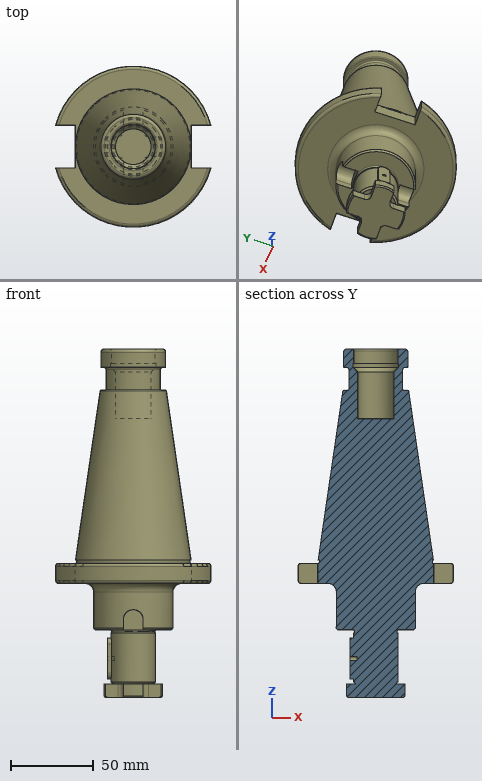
import cadquery as cq

TOTAL_HEIGHT = 210.8

HEAD_RADIUS = 17.7
HEAD_HEIGHT = 8.2
HEAD_CHAMFER = 0.8
LOBE_WIDTH = 12.0
LOBE_FILLET = 3.2

ARBOR_RADIUS = 13.5
ARBOR_CHAMFER = 1.3
ARBOR_NECK_RADIUS = 13.0
ARBOR_NECK_HEIGHT = 2.0
ARBOR_NECK_FILLET = 0.8

KEY_WIDTH = 7.2
KEY_LENGTH = 24.9
KEY_BOTTOM = 11.2
KEY_OUTER_X = 15.5
KEY_HOLE_DIAMETER = 2.3
KEY_HOLE_DEPTH = 4.2

COLLAR_RADIUS = 24.0
COLLAR_BOTTOM = 41.0
COLLAR_CHAMFER = 1.0
COLLAR_FILLET = 5.0

KEYWAY_WIDTH = 12.0
KEYWAY_TOP = 53.1
KEYWAY_FLOOR_Y = ARBOR_RADIUS

FLANGE_RADIUS = 48.7
FLANGE_BOTTOM = 69.0
FLANGE_TOP = 81.2
FLANGE_ROUNDING = 2.0
SLOT_WIDTH = 25.7
SLOT_FLOOR_X = 35.2

TAPER_RATIO = 7 / 24
GAUGE_RADIUS = 35.0
GAUGE_HEIGHT = 83.0
TAPER_NECK_RADIUS = 34.4
TAPER_NECK_FILLET = 0.6
TAPER_TOP = 186.0
TAPER_ROUNDING = 1.0

NECK_RADIUS = 16.5
NECK_LOWER_FILLET = 0.5
NECK_UPPER_FILLET = 1.0
KNOB_RADIUS = 19.5
KNOB_BOTTOM = 199.5
KNOB_TOP_ROUNDING = 2.1
KNOB_BOTTOM_ROUNDING = 0.6

BORE_RADIUS = 13.3
BORE_RIM_ROUNDING = 1.3
BORE_DEPTH = 8.9
GROOVE_RADIUS = 13.7
GROOVE_HEIGHT = 2.5
THREAD_RADIUS = 10.8
THREAD_CHAMFER_DEPTH = 2.7
THREAD_DEPTH = 42.2


def round_circles(body, radius, height, rounding):
    """Round the circular edges of the given radius and height, centred on the part axis."""
    tolerance = 0.1
    reach = radius + tolerance
    level = cq.selectors.BoxSelector(
        (-reach, -reach, height - tolerance), (reach, reach, height + tolerance), boundingbox=True
    )
    circles = body.edges("%CIRCLE").edges(level)
    matching = circles.filter(lambda edge: abs(edge.radius() - radius) < tolerance)
    return matching.fillet(rounding)


def turned_body():
    """Solid of revolution from the arbor up to the knob."""
    taper_top_radius = GAUGE_RADIUS - (TAPER_TOP - GAUGE_HEIGHT) * TAPER_RATIO / 2
    arbor_top = COLLAR_BOTTOM - ARBOR_NECK_HEIGHT
    outline = [
        (0, HEAD_HEIGHT),
        (ARBOR_RADIUS - ARBOR_CHAMFER, HEAD_HEIGHT),
        (ARBOR_RADIUS, HEAD_HEIGHT + ARBOR_CHAMFER),
        (ARBOR_RADIUS, arbor_top),
        (ARBOR_NECK_RADIUS, arbor_top),
        (ARBOR_NECK_RADIUS, COLLAR_BOTTOM),
        (COLLAR_RADIUS - COLLAR_CHAMFER, COLLAR_BOTTOM),
        (COLLAR_RADIUS, COLLAR_BOTTOM + COLLAR_CHAMFER),
        (COLLAR_RADIUS, FLANGE_BOTTOM),
        (FLANGE_RADIUS, FLANGE_BOTTOM),
        (FLANGE_RADIUS, FLANGE_TOP),
        (TAPER_NECK_RADIUS, FLANGE_TOP),
        (TAPER_NECK_RADIUS, GAUGE_HEIGHT),
        (GAUGE_RADIUS, GAUGE_HEIGHT),
        (taper_top_radius, TAPER_TOP),
        (NECK_RADIUS, TAPER_TOP),
        (NECK_RADIUS, KNOB_BOTTOM),
        (KNOB_RADIUS, KNOB_BOTTOM),
        (KNOB_RADIUS, TOTAL_HEIGHT),
        (0, TOTAL_HEIGHT),
    ]
    rounded_circles = [
        (ARBOR_NECK_RADIUS, COLLAR_BOTTOM, ARBOR_NECK_FILLET),
        (COLLAR_RADIUS, FLANGE_BOTTOM, COLLAR_FILLET),
        (FLANGE_RADIUS, FLANGE_BOTTOM, FLANGE_ROUNDING),
        (FLANGE_RADIUS, FLANGE_TOP, FLANGE_ROUNDING),
        (TAPER_NECK_RADIUS, FLANGE_TOP, TAPER_NECK_FILLET),
        (taper_top_radius, TAPER_TOP, TAPER_ROUNDING),
        (NECK_RADIUS, TAPER_TOP, NECK_LOWER_FILLET),
        (NECK_RADIUS, KNOB_BOTTOM, NECK_UPPER_FILLET),
        (KNOB_RADIUS, KNOB_BOTTOM, KNOB_BOTTOM_ROUNDING),
        (KNOB_RADIUS, TOTAL_HEIGHT, KNOB_TOP_ROUNDING),
    ]
    body = cq.Workplane("XZ").polyline(outline).close().revolve(360, (0, 0, 0), (0, 1, 0))
    for radius, height, rounding in rounded_circles:
        body = round_circles(body, radius, height, rounding)
    return body


def cut_drawbar_bore(body):
    """Cut the bore with its relief groove and countersunk thread hole, then round its rim."""
    groove_top = TOTAL_HEIGHT - BORE_DEPTH
    groove_bottom = groove_top - GROOVE_HEIGHT
    floor_z = TOTAL_HEIGHT - THREAD_DEPTH
    outline = [
        (0, TOTAL_HEIGHT),
        (BORE_RADIUS, TOTAL_HEIGHT),
        (BORE_RADIUS, groove_top),
        (GROOVE_RADIUS, groove_top),
        (GROOVE_RADIUS, groove_bottom),
        (BORE_RADIUS, groove_bottom),
        (THREAD_RADIUS, groove_bottom - THREAD_CHAMFER_DEPTH),
        (THREAD_RADIUS, floor_z),
        (0, floor_z),
    ]
    bore = cq.Workplane("XZ").polyline(outline).close().revolve(360, (0, 0, 0), (0, 1, 0))
    return round_circles(body.cut(bore), BORE_RADIUS, TOTAL_HEIGHT, BORE_RIM_ROUNDING)


def screw_head():
    """Cross of two bars with filleted inner corners, trimmed to a chamfered disc."""
    disc = cq.Workplane("XY").circle(HEAD_RADIUS).extrude(HEAD_HEIGHT)
    disc = disc.faces("<Z").chamfer(HEAD_CHAMFER)
    bar_length = 2 * HEAD_RADIUS
    cross = (
        cq.Workplane("XY")
        .rect(bar_length, LOBE_WIDTH)
        .extrude(HEAD_HEIGHT)
        .union(cq.Workplane("XY").rect(LOBE_WIDTH, bar_length).extrude(HEAD_HEIGHT))
    )
    inner_corners = cq.selectors.BoxSelector(
        (-LOBE_WIDTH, -LOBE_WIDTH, 0), (LOBE_WIDTH, LOBE_WIDTH, HEAD_HEIGHT)
    )
    cross = cross.edges("|Z").edges(inner_corners).fillet(LOBE_FILLET)
    return disc.intersect(cross)


def flange_slot(side):
    """Drive slot through the flange; side is -1 or +1 along X."""
    depth = FLANGE_RADIUS - SLOT_FLOOR_X
    height = FLANGE_TOP - FLANGE_BOTTOM
    center = (side * (SLOT_FLOOR_X + depth / 2), 0, FLANGE_BOTTOM + height / 2)
    return cq.Workplane("XY").box(depth, SLOT_WIDTH, height).translate(center)


def collar_keyway(side):
    """Round-topped keyway open at the bottom of the collar; side is -1 or +1 along Y."""
    half_width = KEYWAY_WIDTH / 2
    shoulder_z = KEYWAY_TOP - half_width
    outline = (
        cq.Workplane("XZ", origin=(0, side * KEYWAY_FLOOR_Y, 0))
        .moveTo(-half_width, COLLAR_BOTTOM)
        .lineTo(-half_width, shoulder_z)
        .threePointArc((0, KEYWAY_TOP), (half_width, shoulder_z))
        .lineTo(half_width, COLLAR_BOTTOM)
        .close()
    )
    return outline.extrude(-side * (COLLAR_RADIUS - KEYWAY_FLOOR_Y))


def arbor_key():
    """Round-ended key standing out of the -X side of the arbor."""
    center = (0, 0, KEY_BOTTOM + KEY_LENGTH / 2)
    return (
        cq.Workplane("YZ", origin=center)
        .slot2D(KEY_LENGTH, KEY_WIDTH, 90)
        .extrude(-KEY_OUTER_X)
    )


def key_hole():
    """Small blind hole in the middle of the key."""
    return (
        cq.Workplane("YZ", origin=(-KEY_OUTER_X, 0, KEY_BOTTOM + KEY_LENGTH / 2))
        .circle(KEY_HOLE_DIAMETER / 2)
        .extrude(KEY_HOLE_DEPTH)
    )


result = cut_drawbar_bore(turned_body())
result = result.union(screw_head()).union(arbor_key()).cut(key_hole())
for side in (-1, 1):
    result = result.cut(flange_slot(side)).cut(collar_keyway(side))